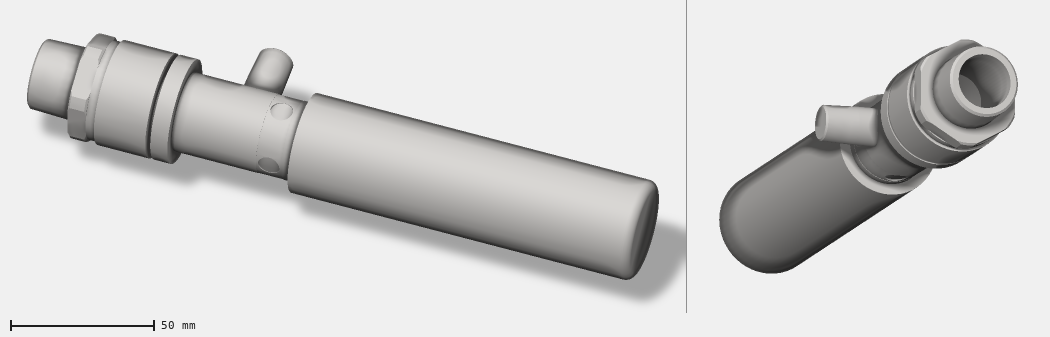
import cadquery as cq
import math

INLET_CHAMFER = 0.8
NUT_START = 16.9
NUT_END = 23.7
COLLAR_END = 27.1
BODY_END = 46.1
FLANGE_START = 47.9
FLANGE_END = 54.2
SHOULDER_END = 55.0
GROOVE_START = 85.3
GROOVE_END = 94.7
SLEEVE_START = 98.3
TOTAL_LENGTH = 223.95

THREAD_TAPER = 1 / 16
INLET_LARGE_DIAMETER = 26.3
NUT_CORNER_DIAMETER = 38.07
NUT_ACROSS_FLATS = 35.0
COLLAR_DIAMETER = 35.98
BODY_DIAMETER = 37.98
NECK_DIAMETER = 26.3
FLANGE_DIAMETER = 37.85
SHOULDER_DIAMETER = 28.32
TUBE_DIAMETER = 28.57
GROOVE_DIAMETER = 28.32
SLEEVE_DIAMETER = 36.08
SLEEVE_FILLET = 3.0
NUT_SIDES = 6
NUT_CHAMFER = 0.7

BORE_DIAMETER = 19.3
BORE_DEPTH = 30.0
BORE_TIP_ANGLE = 118.0

CROSS_HOLE_DIAMETER = 7.92
CROSS_HOLE_COUNT = 4
CROSS_HOLE_DEPTH = 0.7

PORT_X = 76.8
PORT_DIAMETER = 13.46
PORT_TAPER_START = 21.0
PORT_TIP = 33.02
PORT_CHAMFER = 0.6


def rod(start, end, diameter):
    """Cylinder on the X axis between two stations."""
    return cq.Workplane("YZ", origin=(start, 0, 0)).circle(diameter / 2).extrude(end - start)


def make_inlet():
    """Tapered thread blank, widening toward the nut, with a chamfered mouth."""
    root_radius = INLET_LARGE_DIAMETER / 2
    mouth_radius = root_radius - NUT_START * THREAD_TAPER / 2
    profile = (
        cq.Workplane("XY")
        .lineTo(0, mouth_radius)
        .lineTo(NUT_START, root_radius)
        .lineTo(NUT_START, 0)
        .close()
    )
    cone = profile.revolve(360, (0, 0, 0), (1, 0, 0))
    return cone.faces("<X").chamfer(INLET_CHAMFER)


def make_nut():
    """Hexagon with two flats facing +/-Y and its corners turned round."""
    length = NUT_END - NUT_START
    across_corners = NUT_ACROSS_FLATS / math.cos(math.pi / NUT_SIDES)
    hexagon = (
        cq.Workplane("YZ", origin=(NUT_START, 0, 0))
        .transformed(rotate=(0, 0, 360 / NUT_SIDES / 2))
        .polygon(NUT_SIDES, across_corners)
        .extrude(length)
    )
    turned_blank = rod(NUT_START, NUT_END, NUT_CORNER_DIAMETER).edges().chamfer(NUT_CHAMFER)
    return hexagon.intersect(turned_blank)


def make_port():
    """Side port: straight root, then a tapered thread blank with a chamfered tip."""
    root_radius = PORT_DIAMETER / 2
    tip_radius = root_radius - (PORT_TIP - PORT_TAPER_START) * THREAD_TAPER / 2
    profile = (
        cq.Workplane("XY", origin=(PORT_X, 0, 0))
        .lineTo(root_radius, 0)
        .lineTo(root_radius, PORT_TAPER_START)
        .lineTo(tip_radius, PORT_TIP)
        .lineTo(0, PORT_TIP)
        .close()
    )
    port = profile.revolve(360, (0, 0, 0), (0, 1, 0))
    return port.faces(">Y").chamfer(PORT_CHAMFER)


def make_bore():
    """Cutter for the inlet bore with its drill-point bottom."""
    radius = BORE_DIAMETER / 2
    tip_length = radius / math.tan(math.radians(BORE_TIP_ANGLE / 2))
    profile = (
        cq.Workplane("XY")
        .lineTo(0, radius)
        .lineTo(BORE_DEPTH, radius)
        .lineTo(BORE_DEPTH + tip_length, 0)
        .close()
    )
    return profile.revolve(360, (0, 0, 0), (1, 0, 0))


def make_cross_hole(angle):
    """Cutter for one radial hole in the middle of the groove."""
    floor_height = GROOVE_DIAMETER / 2 - CROSS_HOLE_DEPTH
    hole_x = (GROOVE_START + GROOVE_END) / 2
    hole = (
        cq.Workplane("XY", origin=(hole_x, 0, floor_height))
        .circle(CROSS_HOLE_DIAMETER / 2)
        .extrude(2 * CROSS_HOLE_DEPTH)
    )
    return hole.rotate((0, 0, 0), (1, 0, 0), angle)


sleeve = rod(SLEEVE_START, TOTAL_LENGTH, SLEEVE_DIAMETER).faces(">X").edges().fillet(SLEEVE_FILLET)

result = make_inlet()
result = result.union(make_nut())
result = result.union(rod(NUT_END, COLLAR_END, COLLAR_DIAMETER))
result = result.union(rod(COLLAR_END, BODY_END, BODY_DIAMETER))
result = result.union(rod(BODY_END, FLANGE_START, NECK_DIAMETER))
result = result.union(rod(FLANGE_START, FLANGE_END, FLANGE_DIAMETER))
result = result.union(rod(FLANGE_END, SHOULDER_END, SHOULDER_DIAMETER))
result = result.union(rod(SHOULDER_END, GROOVE_START, TUBE_DIAMETER))
result = result.union(rod(GROOVE_START, GROOVE_END, GROOVE_DIAMETER))
result = result.union(rod(GROOVE_END, SLEEVE_START, TUBE_DIAMETER))
result = result.union(sleeve)
result = result.union(make_port())
result = result.cut(make_bore())
for index in range(CROSS_HOLE_COUNT):
    result = result.cut(make_cross_hole(index * 360 / CROSS_HOLE_COUNT))